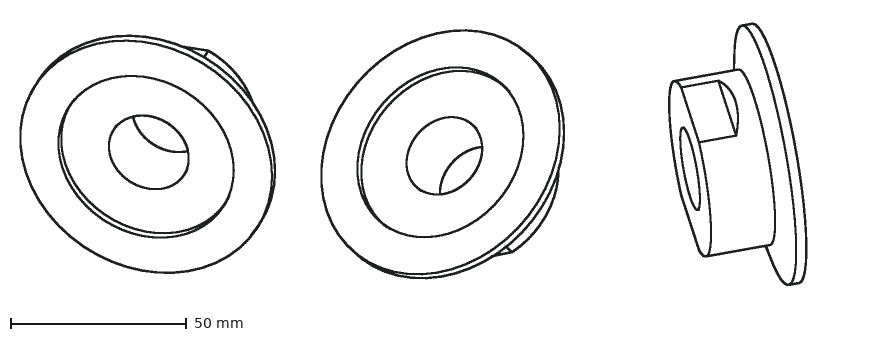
import cadquery as cq
import math

flange_diameter = 75.0
hub_diameter = 50.8
bore_diameter = 23.8
recess_diameter = 52.2
recess_depth = 2.6
length = 25.0
rim_thickness = 3.0
cone_angle = 15.0
flat_spacing = 46.0
flat_length = 10.9
flat_end_angle = 45.0

flange_radius = flange_diameter / 2
hub_radius = hub_diameter / 2
front_y = -length / 2
back_y = length / 2
cone_height = (flange_radius - hub_radius) * math.tan(math.radians(cone_angle))
hub_start_y = front_y + rim_thickness + cone_height


def make_body():
    """Flange rim, conical back and cylindrical hub, revolved about Y."""
    return (
        cq.Workplane("XY")
        .moveTo(0, front_y)
        .lineTo(flange_radius, front_y)
        .lineTo(flange_radius, front_y + rim_thickness)
        .lineTo(hub_radius, hub_start_y)
        .lineTo(hub_radius, back_y)
        .lineTo(0, back_y)
        .close()
        .revolve(360, (0, 0, 0), (0, 1, 0))
    )


def make_front_hole(diameter, depth):
    """Cylinder reaching from the flange face into the part."""
    return (
        cq.Workplane("XZ", origin=(0, front_y, 0))
        .circle(diameter / 2)
        .extrude(-depth)
    )


def make_flat_cutter():
    """Material removed above the upper wrench flat, with a sloped end."""
    flat_z = flat_spacing / 2
    flat_end_y = back_y - flat_length
    cut_height = hub_radius - flat_z
    slope_run = cut_height / math.tan(math.radians(flat_end_angle))
    return (
        cq.Workplane("YZ")
        .moveTo(back_y, flat_z)
        .lineTo(flat_end_y, flat_z)
        .lineTo(flat_end_y - slope_run, hub_radius)
        .lineTo(back_y, hub_radius)
        .close()
        .extrude(hub_radius, both=True)
    )


result = make_body()
result = result.cut(make_front_hole(recess_diameter, recess_depth))
result = result.cut(make_front_hole(bore_diameter, length))

upper_flat = make_flat_cutter()
for cutter in (upper_flat, upper_flat.mirror("XY")):
    result = result.cut(cutter)